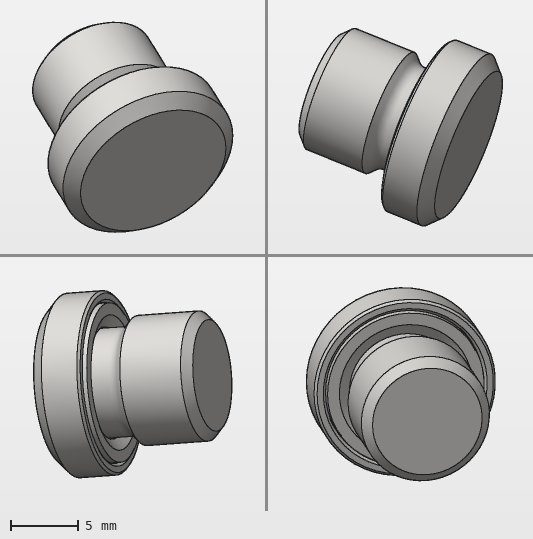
import cadquery as cq
import math

total_length = 12.0
head_radius = 6.9
head_thickness = 4.0
head_back_chamfer = 1.0
head_front_chamfer = 0.2
shank_radius = 4.87
shank_chamfer = 0.7
shank_length = 5.53
neck_radius = 4.1
neck_fillet_radius = 1.0
neck_cone_angle = math.radians(45)

ring_outer_radius = 5.96
ring_mouth_radius = 5.06
ring_bore_radius = 4.2
ring_flare_angle = math.radians(30)
ring_projection = 0.25
groove_depth = 1.0
groove_radius = 6.02
groove_mouth_radius = 6.24

head_front = total_length - head_thickness
groove_floor = head_front + groove_depth
ring_front = head_front - ring_projection


def revolve_about_x(profile):
    """Turn a closed (x, radius) profile into a solid of revolution."""
    return profile.close().revolve(360, (0, 0, 0), (1, 0, 0))


def make_plug():
    fillet_rise = neck_fillet_radius * (1 - math.cos(neck_cone_angle))
    fillet_run = neck_fillet_radius * math.sin(neck_cone_angle)
    cone_end_radius = neck_radius + fillet_rise
    cone_end = shank_length + (shank_radius - cone_end_radius) / math.tan(neck_cone_angle)
    fillet_end = cone_end + fillet_run
    half_angle = neck_cone_angle / 2
    fillet_middle = (
        fillet_end - neck_fillet_radius * math.sin(half_angle),
        neck_radius + neck_fillet_radius * (1 - math.cos(half_angle)),
    )
    groove_chamfer = groove_mouth_radius - groove_radius

    return revolve_about_x(
        cq.Workplane("XY")
        .moveTo(0, 0)
        .lineTo(0, shank_radius - shank_chamfer)
        .lineTo(shank_chamfer, shank_radius)
        .lineTo(shank_length, shank_radius)
        .lineTo(cone_end, cone_end_radius)
        .threePointArc(fillet_middle, (fillet_end, neck_radius))
        .lineTo(groove_floor, neck_radius)
        .lineTo(groove_floor, groove_radius)
        .lineTo(head_front + groove_chamfer, groove_radius)
        .lineTo(head_front, groove_mouth_radius)
        .lineTo(head_front, head_radius - head_front_chamfer)
        .lineTo(head_front + head_front_chamfer, head_radius)
        .lineTo(total_length - head_back_chamfer, head_radius)
        .lineTo(total_length, head_radius - head_back_chamfer)
        .lineTo(total_length, 0)
    )


def make_sealing_ring():
    flare_depth = (ring_mouth_radius - ring_bore_radius) * math.tan(ring_flare_angle)
    return revolve_about_x(
        cq.Workplane("XY")
        .moveTo(ring_front, ring_mouth_radius)
        .lineTo(ring_front, ring_outer_radius)
        .lineTo(groove_floor, ring_outer_radius)
        .lineTo(groove_floor, ring_bore_radius)
        .lineTo(ring_front + flare_depth, ring_bore_radius)
    )


plug = make_plug()
sealing_ring = make_sealing_ring()

result = cq.Compound.makeCompound([plug.val(), sealing_ring.val()])